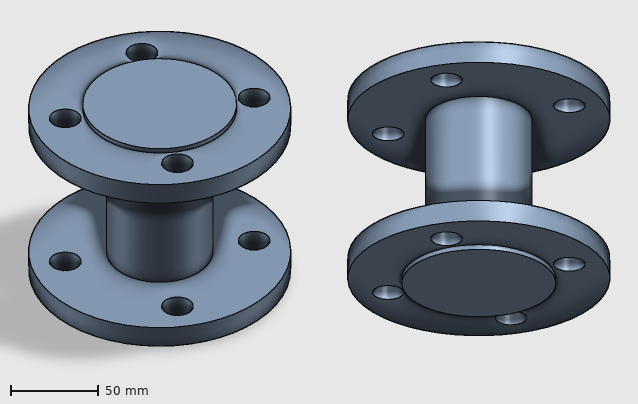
import cadquery as cq

total_height = 120.0
flange_diameter = 150.0
flange_thickness = 13.0

raised_face_diameter = 88.0
raised_face_height = 3.0
neck_diameter = 61.0

bolt_hole_diameter = 18.0
bolt_circle_diameter = 110.0
bolt_hole_count = 4
first_bolt_angle = 45.0

upper_flange_base = total_height - raised_face_height - flange_thickness


def disc(diameter, height, base):
    """Solid cylinder on the Z axis, standing on the level `base`."""
    return cq.Workplane("XY").workplane(offset=base).circle(diameter / 2).extrude(height)


def bolt_holes():
    """Cutters on the bolt circle, long enough to pass through both flanges."""
    return (
        cq.Workplane("XY")
        .polarArray(bolt_circle_diameter / 2, first_bolt_angle, 360, bolt_hole_count)
        .circle(bolt_hole_diameter / 2)
        .extrude(total_height)
    )


neck = disc(neck_diameter, total_height, 0)
lower_face = disc(raised_face_diameter, raised_face_height, 0)
upper_face = disc(raised_face_diameter, raised_face_height, total_height - raised_face_height)
lower_flange = disc(flange_diameter, flange_thickness, raised_face_height)
upper_flange = disc(flange_diameter, flange_thickness, upper_flange_base)

spool = neck.union(lower_face).union(lower_flange).union(upper_flange).union(upper_face)
result = spool.cut(bolt_holes())